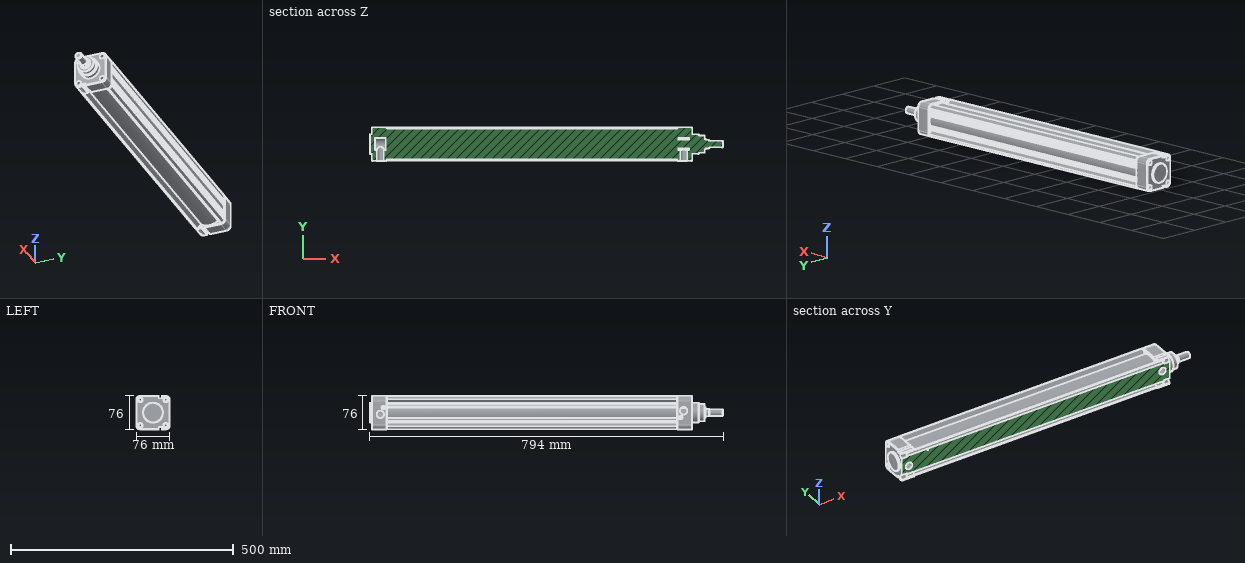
import cadquery as cq
import math

total_length = 794.0
side = 76.0
half_side = side / 2
rear_boss_length = 4.0
body_length = 721.0
cap_length = 35.0
front_face = rear_boss_length + body_length

cap_corner_radius = 11.0
cap_edge_chamfer = 1.5
cap_groove_center = -17.0
cap_groove_width = 7.0
cap_groove_depth = 5.5
bolt_offset = 28.5
bolt_hole_diameter = 7.0
socket_diameter = 11.0
socket_depth = 16.0

port_inset = 20.0
port_drop = 4.0
port_diameter = 17.0
chamber_diameter = 27.0
chamber_length = 24.0
screw_inset = 26.0
screw_rise = 11.0
screw_diameter = 8.0
screw_depth = 4.0
screw_socket_diameter = 4.0
screw_socket_depth = 6.0

barrel_radius = 35.0
lobe_radius = 10.0
lobe_center = half_side - lobe_radius
lobe_edge = 30.0
flank_foot = 21.0
ledge_outer = 23.0
ledge_reach = 30.0
rail_inner = 11.0
rail_outer = 20.0
rail_center = (rail_inner + rail_outer) / 2
rail_reach = 36.5
slot_width = 5.0
slot_depth = 5.0

boss_diameter = 45.0
rear_boss_chamfer = 1.0
front_boss_length = 15.0
front_boss_chamfer = 1.5
nose_diameter = 40.0
nose_end = 28.0
nose_chamfer = 1.0
collar_diameter = 24.0
collar_end = 30.0
rod_diameter = 20.0
rod_end = 39.0
flat_width = 17.0
rod_chamfer = 2.0
thread_diameter = 16.0
thread_chamfer = 1.5


def cylinder_x(start, end, diameter, y=0, z=0):
    """Cylinder along X between two X positions."""
    return cq.Workplane("YZ", origin=(start, y, z)).circle(diameter / 2).extrude(end - start)


def box_between(low, high):
    """Box between two opposite corners."""
    size = [b - a for a, b in zip(low, high)]
    return cq.Workplane("XY").box(*size, centered=False).translate(low)


def make_cap(start):
    end = start + cap_length
    cap = box_between((start, -half_side, -half_side), (end, half_side, half_side))
    cap = cap.edges("|X").fillet(cap_corner_radius)
    cap = cap.faces("<X or >X").edges().chamfer(cap_edge_chamfer)
    for z in (half_side - cap_groove_depth, -half_side):
        low = (start, cap_groove_center - cap_groove_width / 2, z)
        high = (end, cap_groove_center + cap_groove_width / 2, z + cap_groove_depth)
        cap = cap.cut(box_between(low, high))
    return cap


def make_barrel(start, end):
    length = end - start
    middle = (start + end) / 2
    foot_height = math.sqrt(barrel_radius**2 - flank_foot**2)
    corner_mid = lobe_center + lobe_radius * math.sqrt(0.5)
    corner_end = lobe_center + math.sqrt(lobe_radius**2 - (lobe_edge - lobe_center) ** 2)
    lobe = (
        cq.Workplane("YZ", origin=(start, 0, 0))
        .moveTo(0, 0)
        .lineTo(flank_foot, foot_height)
        .lineTo(lobe_edge, corner_end)
        .threePointArc((corner_mid, corner_mid), (corner_end, lobe_edge))
        .lineTo(foot_height, flank_foot)
        .close()
        .extrude(length)
    )
    barrel = cylinder_x(start, end, 2 * barrel_radius)
    for quarter in range(4):
        barrel = barrel.union(lobe.rotate((0, 0, 0), (1, 0, 0), 90 * quarter))
    for z_sign in (1, -1):
        ledge = cq.Workplane("XY").box(length, 2 * ledge_reach, ledge_outer - rail_inner)
        ledge = ledge.translate((middle, 0, z_sign * (ledge_outer + rail_inner) / 2))
        rail = cq.Workplane("XY").box(length, 2 * rail_reach, rail_outer - rail_inner)
        rail = rail.translate((middle, 0, z_sign * rail_center))
        barrel = barrel.union(ledge).union(rail)
        for y_sign in (1, -1):
            slot = cq.Workplane("XY").box(length, slot_depth, slot_width)
            slot_y = y_sign * (rail_reach - slot_depth / 2)
            barrel = barrel.cut(slot.translate((middle, slot_y, z_sign * rail_center)))
    return barrel


def make_rod():
    rod = cylinder_x(front_face, front_face + front_boss_length, boss_diameter)
    rod = rod.faces(">X").chamfer(front_boss_chamfer)
    nose = cylinder_x(front_face, front_face + nose_end, nose_diameter)
    rod = rod.union(nose.faces(">X").chamfer(nose_chamfer))
    rod = rod.union(cylinder_x(front_face, front_face + collar_end, collar_diameter))
    shank_end = front_face + rod_end
    shank = cylinder_x(front_face, shank_end, rod_diameter).faces(">X").chamfer(rod_chamfer)
    for z in (flat_width / 2, -flat_width / 2 - rod_diameter):
        low = (front_face + collar_end, -rod_diameter, z)
        high = (shank_end, rod_diameter, z + rod_diameter)
        shank = shank.cut(box_between(low, high))
    thread = cylinder_x(front_face, total_length, thread_diameter)
    return rod.union(shank).union(thread.faces(">X").chamfer(thread_chamfer))


def side_hole(x, z, diameter, depth):
    """Blind hole entering the -Y side."""
    return cq.Workplane("XZ", origin=(x, -half_side + depth, z)).circle(diameter / 2).extrude(depth)


rear_boss = cylinder_x(0, rear_boss_length + cap_length, boss_diameter)
result = make_barrel(rear_boss_length + cap_length, front_face - cap_length)
result = result.union(make_cap(rear_boss_length))
result = result.union(make_cap(front_face - cap_length))
result = result.union(rear_boss.faces("<X").chamfer(rear_boss_chamfer))
result = result.union(make_rod())

for cap_face, inward in ((rear_boss_length, 1), (front_face, -1)):
    port_x = cap_face + inward * port_inset
    screw_x = cap_face + inward * screw_inset
    screw_z = inward * screw_rise
    result = result.cut(
        cylinder_x(port_x - chamber_length / 2, port_x + chamber_length / 2, chamber_diameter)
    )
    result = result.cut(side_hole(port_x, -inward * port_drop, port_diameter, half_side))
    result = result.cut(side_hole(screw_x, screw_z, screw_diameter, screw_depth))
    result = result.cut(side_hole(screw_x, screw_z, screw_socket_diameter, screw_socket_depth))

result = result.union(cylinder_x(front_face - cap_length, front_face, rod_diameter))

for y in (bolt_offset, -bolt_offset):
    for z in (bolt_offset, -bolt_offset):
        result = result.cut(cylinder_x(0, total_length, bolt_hole_diameter, y, z))
        result = result.cut(cylinder_x(0, rear_boss_length + socket_depth, socket_diameter, y, z))
        result = result.cut(cylinder_x(front_face - socket_depth, total_length, socket_diameter, y, z))